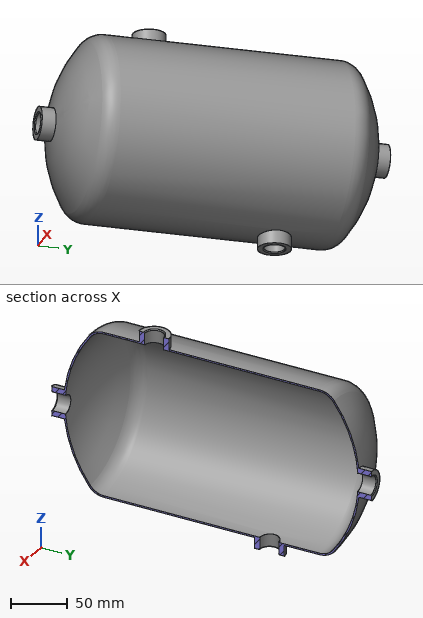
import cadquery as cq
import math

TANK_LENGTH = 320.0
TANK_HEIGHT = 190.0
SHELL_DIAMETER = 168.3
INNER_DIAMETER = 164.0
CYLINDER_LENGTH = 215.7

CROWN_RADIUS = 128.0
KNUCKLE_RADIUS = 18.5

SOCKET_DIAMETER = 30.0
BORE_DIAMETER = 18.5
MOUTH_CHAMFER = 1.0
SIDE_SOCKET_OFFSET = 57.5

WALL = (SHELL_DIAMETER - INNER_DIAMETER) / 2


def domed_solid(radius, crown_radius, knuckle_radius):
    """Solid of revolution about Y with two tangent-blended dished ends."""
    half_cylinder = CYLINDER_LENGTH / 2
    knuckle_x = radius - knuckle_radius
    blend = math.asin(knuckle_x / (crown_radius - knuckle_radius))
    crown_center = half_cylinder - (crown_radius - knuckle_radius) * math.cos(blend)

    def knuckle_point(angle):
        return (
            knuckle_x + knuckle_radius * math.sin(angle),
            half_cylinder + knuckle_radius * math.cos(angle),
        )

    def crown_point(angle):
        return (
            crown_radius * math.sin(angle),
            crown_center + crown_radius * math.cos(angle),
        )

    def mirrored(point):
        return (point[0], -point[1])

    knuckle_middle = knuckle_point((blend + math.pi / 2) / 2)
    knuckle_end = knuckle_point(blend)
    crown_middle = crown_point(blend / 2)
    apex = crown_point(0)
    return (
        cq.Workplane("XY")
        .moveTo(*mirrored(apex))
        .threePointArc(mirrored(crown_middle), mirrored(knuckle_end))
        .threePointArc(mirrored(knuckle_middle), (radius, -half_cylinder))
        .lineTo(radius, half_cylinder)
        .threePointArc(knuckle_middle, knuckle_end)
        .threePointArc(crown_middle, apex)
        .close()
        .revolve(360, (0, 0, 0), (0, 1, 0))
    )


def socket_plane(reach, side_offset, direction):
    """Plane on a socket's outer face, with its normal pointing outward."""
    normal = cq.Vector(*direction)
    origin = normal * reach + cq.Vector(0, side_offset, 0)
    return cq.Plane(origin=origin.toTuple(), xDir=(1, 0, 0), normal=direction)


def socket_body(plane, reach):
    return cq.Workplane(plane).circle(SOCKET_DIAMETER / 2).extrude(-reach)


def socket_bore(plane, reach):
    """Bore down to the tank axis, with a chamfered mouth."""
    bore_radius = BORE_DIAMETER / 2
    bore = cq.Workplane(plane).circle(bore_radius).extrude(-reach)
    mouth = (
        cq.Workplane(plane)
        .circle(bore_radius + MOUTH_CHAMFER)
        .workplane(offset=-MOUTH_CHAMFER)
        .circle(bore_radius)
        .loft(ruled=True)
    )
    return bore.union(mouth)


SOCKETS = [
    (TANK_LENGTH / 2, 0, (0, -1, 0)),
    (TANK_LENGTH / 2, 0, (0, 1, 0)),
    (TANK_HEIGHT / 2, -SIDE_SOCKET_OFFSET, (0, 0, 1)),
    (TANK_HEIGHT / 2, SIDE_SOCKET_OFFSET, (0, 0, -1)),
]

tank = domed_solid(SHELL_DIAMETER / 2, CROWN_RADIUS, KNUCKLE_RADIUS)
cavity = domed_solid(INNER_DIAMETER / 2, CROWN_RADIUS - WALL, KNUCKLE_RADIUS - WALL)

for socket_reach, position, outward in SOCKETS:
    face_plane = socket_plane(socket_reach, position, outward)
    tank = tank.union(socket_body(face_plane, socket_reach))

tank = tank.cut(cavity)

for socket_reach, position, outward in SOCKETS:
    face_plane = socket_plane(socket_reach, position, outward)
    tank = tank.cut(socket_bore(face_plane, socket_reach))

result = tank